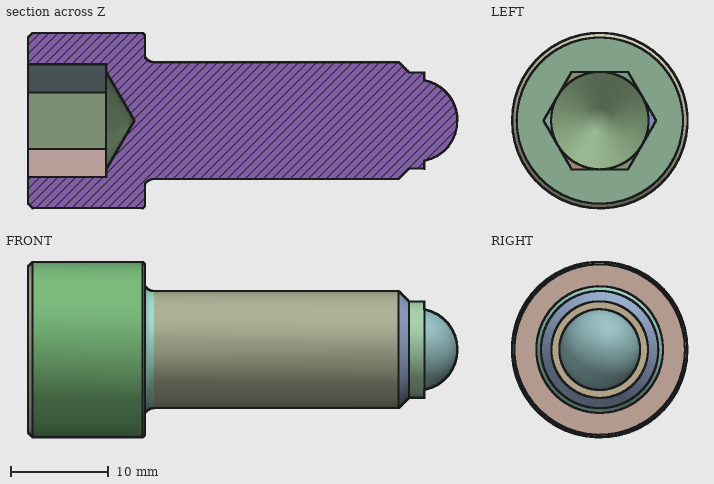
import cadquery as cq
import math

total_length = 44.0
head_diameter = 18.0
head_length = 12.0
shank_diameter = 12.0

head_chamfer = 0.5
head_rear_chamfer = 0.25
neck_flare_height = 0.5
neck_flare_length = 0.92

tip_diameter = 9.9
tip_end = 40.6
shank_chamfer = (shank_diameter - tip_diameter) / 2
shank_end = 39.05
ball_radius = 4.22
ball_center = total_length - ball_radius

socket_width = 10.0
socket_depth = 8.0
socket_cone_angle = 120.0


def make_body():
    """Revolve the head, neck, shank, stepped tip and ball about the X axis."""
    head_radius = head_diameter / 2
    shank_radius = shank_diameter / 2
    tip_radius = tip_diameter / 2
    neck_radius = (neck_flare_length**2 + neck_flare_height**2) / (2 * neck_flare_height)
    half_angle = math.asin(neck_flare_length / neck_radius) / 2
    neck_middle = (
        head_length + neck_flare_length - neck_radius * math.sin(half_angle),
        shank_radius + neck_radius * (1 - math.cos(half_angle)),
    )
    ball_exit_radius = math.sqrt(ball_radius**2 - (tip_end - ball_center) ** 2)
    cap_angle = math.atan2(ball_exit_radius, tip_end - ball_center) / 2
    cap_middle = (
        ball_center + ball_radius * math.cos(cap_angle),
        ball_radius * math.sin(cap_angle),
    )
    profile = (
        cq.Workplane("XY")
        .lineTo(0, head_radius - head_chamfer)
        .lineTo(head_chamfer, head_radius)
        .lineTo(head_length - head_rear_chamfer, head_radius)
        .lineTo(head_length, head_radius - head_rear_chamfer)
        .lineTo(head_length, shank_radius + neck_flare_height)
        .threePointArc(neck_middle, (head_length + neck_flare_length, shank_radius))
        .lineTo(shank_end - shank_chamfer, shank_radius)
        .lineTo(shank_end, tip_radius)
        .lineTo(tip_end, tip_radius)
        .lineTo(tip_end, ball_exit_radius)
        .threePointArc(cap_middle, (total_length, 0))
        .close()
    )
    return profile.revolve(360, (0, 0, 0), (1, 0, 0))


def make_socket():
    """Hexagonal prism with two flats facing Z, ending in a drill-point cone."""
    corner_diameter = socket_width / math.cos(math.pi / 6)
    prism = cq.Workplane("YZ").polygon(6, corner_diameter).extrude(socket_depth)
    cone_radius = socket_width / 2
    cone_depth = cone_radius / math.tan(math.radians(socket_cone_angle / 2))
    cone = (
        cq.Workplane("XY")
        .moveTo(socket_depth, 0)
        .lineTo(socket_depth, cone_radius)
        .lineTo(socket_depth + cone_depth, 0)
        .close()
        .revolve(360, (0, 0, 0), (1, 0, 0))
    )
    return prism.union(cone)


result = make_body().cut(make_socket())